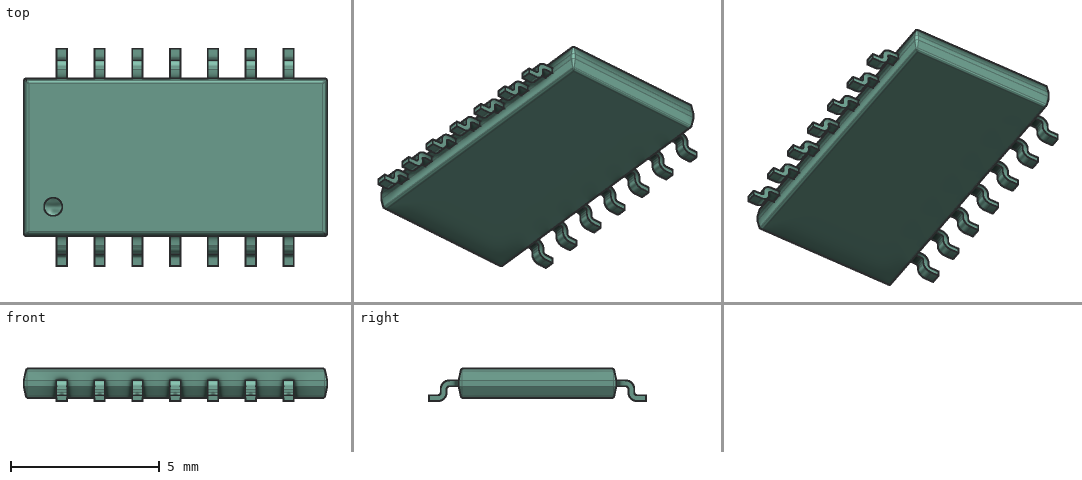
import cadquery as cq

HOUSING_LENGTH = 10.2
HOUSING_WIDTH = 5.3
HOUSING_BOTTOM = 0.1
HOUSING_TOP = 1.1
DRAFT_ANGLE = 12.0
CORNER_RADIUS = 0.1
RIM_RADIUS = 0.1

DIMPLE_RADIUS = 0.31
DIMPLE_DEPTH = 0.1
DIMPLE_INSET = 0.99

LEAD_COUNT = 7
LEAD_ROW_LENGTH = 7.62
LEAD_ROW_CENTRE_X = -0.01
LEAD_WIDTH = 0.36
LEAD_THICKNESS = 0.2
LEAD_SPAN = 7.3
FOOT_LENGTH = 0.4
INNER_BEND_RADIUS = 0.09

LEAD_PITCH = LEAD_ROW_LENGTH / (LEAD_COUNT - 1)
MID_HEIGHT = (HOUSING_BOTTOM + HOUSING_TOP) / 2
LEAD_TOP = MID_HEIGHT + LEAD_THICKNESS / 2
LEAD_BOTTOM = MID_HEIGHT - LEAD_THICKNESS / 2
OUTER_BEND_RADIUS = INNER_BEND_RADIUS + LEAD_THICKNESS
TIP_Y = LEAD_SPAN / 2
LEG_OUTER_Y = TIP_Y - FOOT_LENGTH
LEG_INNER_Y = LEG_OUTER_Y - LEAD_THICKNESS
LEAD_POSITIONS = [
    LEAD_ROW_CENTRE_X + (i - (LEAD_COUNT - 1) / 2) * LEAD_PITCH
    for i in range(LEAD_COUNT)
]


def make_layer(base_height, extrusion, draft):
    """Extrude the rounded housing outline up, or down if negative, narrowing with the draft."""
    outline = cq.Sketch().rect(HOUSING_LENGTH, HOUSING_WIDTH).vertices().fillet(CORNER_RADIUS)
    return (
        cq.Workplane("XY", origin=(0, 0, base_height))
        .placeSketch(outline)
        .extrude(extrusion, taper=draft)
    )


def make_dimple_cutter():
    """Sphere that leaves the spherical dimple in the top face."""
    sphere_radius = (DIMPLE_RADIUS**2 + DIMPLE_DEPTH**2) / (2 * DIMPLE_DEPTH)
    centre = (
        DIMPLE_INSET - HOUSING_LENGTH / 2,
        DIMPLE_INSET - HOUSING_WIDTH / 2,
        HOUSING_TOP - DIMPLE_DEPTH + sphere_radius,
    )
    return cq.Workplane("XY", origin=centre).sphere(sphere_radius)


def make_lead(x):
    """One gull wing lead, a bent strip symmetric about the XZ plane."""
    half = (
        cq.Workplane("YZ", origin=(x - LEAD_WIDTH / 2, 0, 0))
        .moveTo(0, LEAD_TOP)
        .lineTo(LEG_OUTER_Y - OUTER_BEND_RADIUS, LEAD_TOP)
        .radiusArc((LEG_OUTER_Y, LEAD_TOP - OUTER_BEND_RADIUS), OUTER_BEND_RADIUS)
        .lineTo(LEG_OUTER_Y, LEAD_THICKNESS + INNER_BEND_RADIUS)
        .radiusArc((LEG_OUTER_Y + INNER_BEND_RADIUS, LEAD_THICKNESS), -INNER_BEND_RADIUS)
        .lineTo(TIP_Y, LEAD_THICKNESS)
        .lineTo(TIP_Y, 0)
        .lineTo(LEG_INNER_Y + OUTER_BEND_RADIUS, 0)
        .radiusArc((LEG_INNER_Y, OUTER_BEND_RADIUS), OUTER_BEND_RADIUS)
        .lineTo(LEG_INNER_Y, LEAD_BOTTOM - INNER_BEND_RADIUS)
        .radiusArc((LEG_INNER_Y - INNER_BEND_RADIUS, LEAD_BOTTOM), -INNER_BEND_RADIUS)
        .lineTo(0, LEAD_BOTTOM)
        .close()
        .extrude(LEAD_WIDTH)
    )
    return half.union(half.mirror("XZ")).solids()


def make_housing():
    """Drafted block with rounded rims, an index dimple and a matching channel for each lead."""
    band = make_layer(LEAD_BOTTOM, LEAD_THICKNESS, 0)
    upper = make_layer(LEAD_TOP, HOUSING_TOP - LEAD_TOP, DRAFT_ANGLE)
    upper = upper.faces(">Z").edges().fillet(RIM_RADIUS)
    lower = make_layer(LEAD_BOTTOM, HOUSING_BOTTOM - LEAD_BOTTOM, DRAFT_ANGLE)
    lower = lower.faces("<Z").edges().fillet(RIM_RADIUS)
    block = band.union(upper).union(lower)
    housing = block.cut(make_dimple_cutter())
    for x in LEAD_POSITIONS:
        channel = cq.Workplane("XY", origin=(x, 0, MID_HEIGHT))
        channel = channel.box(LEAD_WIDTH, HOUSING_WIDTH, LEAD_THICKNESS)
        housing = housing.cut(channel)
    return housing.solids()


housing = make_housing()
leads = [make_lead(x) for x in LEAD_POSITIONS]

result = cq.Compound.makeCompound([housing.val(), *[lead.val() for lead in leads]])